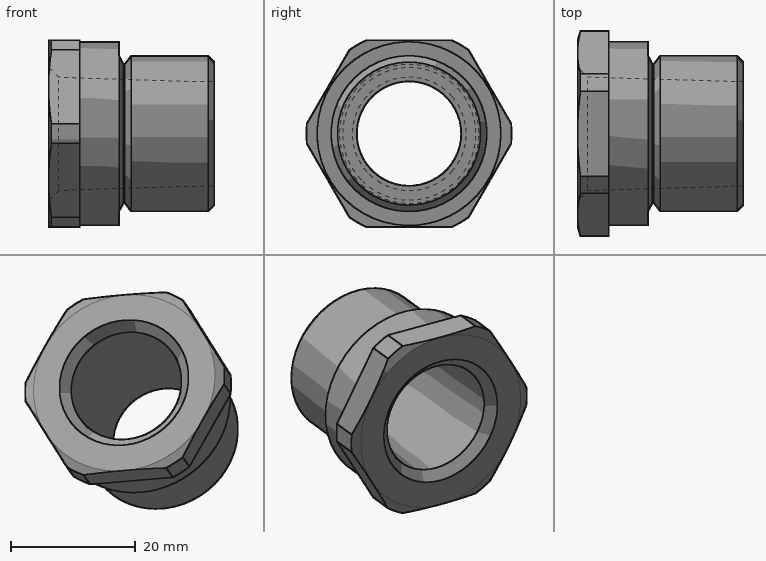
import cadquery as cq
import math

total_length = 26.6
hex_length = 5.0
hex_across_flats = 30.0
hex_corner_diameter = 32.98
face_chamfer_length = 0.45

collar_diameter = 29.5
collar_end = 11.3

groove_shoulder_diameter = 25.0
groove_diameter = 22.35
groove_bottom_start = 12.0
groove_bottom_end = 12.25
groove_end = 13.25

spigot_diameter = 25.0
spigot_chamfer = 1.02

countersink_diameter = 21.35
countersink_depth = 1.55
bore_entry_diameter = 18.25
bore_exit_diameter = 16.72


def revolve_about_x(profile):
    """Turn an (X, radius) profile one full revolution about the X axis."""
    return cq.Workplane("XY").polyline(profile).close().revolve(360, (0, 0, 0), (1, 0, 0))


def make_hexagon():
    """Hexagon with flats up and down, its corners rounded and its front face chamfered."""
    across_corners = hex_across_flats / math.cos(math.pi / 6)
    prism = cq.Workplane("YZ").polygon(6, across_corners).extrude(hex_length)
    corner_limit = revolve_about_x([
        (0, 0),
        (0, hex_across_flats / 2),
        (face_chamfer_length, hex_corner_diameter / 2),
        (hex_length, hex_corner_diameter / 2),
        (hex_length, 0),
    ])
    return prism.intersect(corner_limit)


def make_turned_body():
    """Collar, relief groove and chamfered spigot."""
    spigot_radius = spigot_diameter / 2
    return revolve_about_x([
        (0, 0),
        (0, collar_diameter / 2),
        (collar_end, collar_diameter / 2),
        (collar_end, groove_shoulder_diameter / 2),
        (groove_bottom_start, groove_diameter / 2),
        (groove_bottom_end, groove_diameter / 2),
        (groove_end, spigot_radius),
        (total_length - spigot_chamfer, spigot_radius),
        (total_length, spigot_radius - spigot_chamfer),
        (total_length, 0),
    ])


def make_bore():
    """Countersink leading into the tapered through bore."""
    return revolve_about_x([
        (0, 0),
        (0, countersink_diameter / 2),
        (countersink_depth, bore_entry_diameter / 2),
        (total_length, bore_exit_diameter / 2),
        (total_length, 0),
    ])


result = make_hexagon().union(make_turned_body()).cut(make_bore())